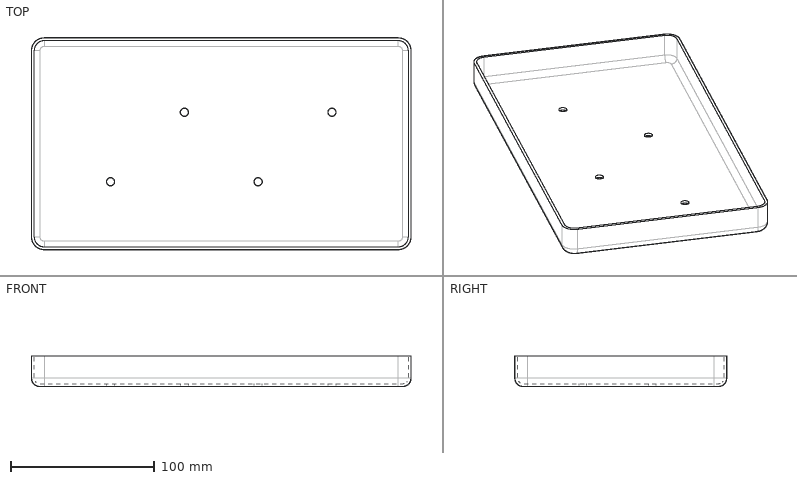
import cadquery as cq

LENGTH = 265.0
WIDTH = 148.0
HEIGHT = 21.5

WALL = 2.0
CORNER_RADIUS = 9.0
BOTTOM_RADIUS = 6.0

HOLE_DIAMETER = 5.5
HOLE_PITCH = 103.0
ROW_SPACING = 48.5
ROW_SHIFT = HOLE_PITCH / 4
PATTERN_CENTER_Y = -2.25


def rounded_block(length, width, height, corner_radius, bottom_radius, base_z):
    """Block centred on Z with rounded vertical corners and a rounded bottom edge."""
    block = cq.Workplane("XY").workplane(offset=base_z).rect(length, width).extrude(height)
    block = block.edges("|Z").fillet(corner_radius)
    return block.faces("<Z").edges().fillet(bottom_radius)


def tray_shell():
    """Open-topped tray whose cavity follows the outside at one wall thickness."""
    outside = rounded_block(LENGTH, WIDTH, HEIGHT, CORNER_RADIUS, BOTTOM_RADIUS, 0)
    cavity = rounded_block(
        LENGTH - 2 * WALL,
        WIDTH - 2 * WALL,
        HEIGHT - WALL,
        CORNER_RADIUS - WALL,
        BOTTOM_RADIUS - WALL,
        WALL,
    )
    return outside.cut(cavity)


def mounting_holes():
    """Cylinders for the staggered holes through the floor."""
    centers = []
    for row in (-1, 1):
        for side in (-1, 1):
            x = row * ROW_SHIFT + side * HOLE_PITCH / 2
            y = PATTERN_CENTER_Y + row * ROW_SPACING / 2
            centers.append((x, y))
    return cq.Workplane("XY").pushPoints(centers).circle(HOLE_DIAMETER / 2).extrude(WALL)


result = tray_shell().cut(mounting_holes())